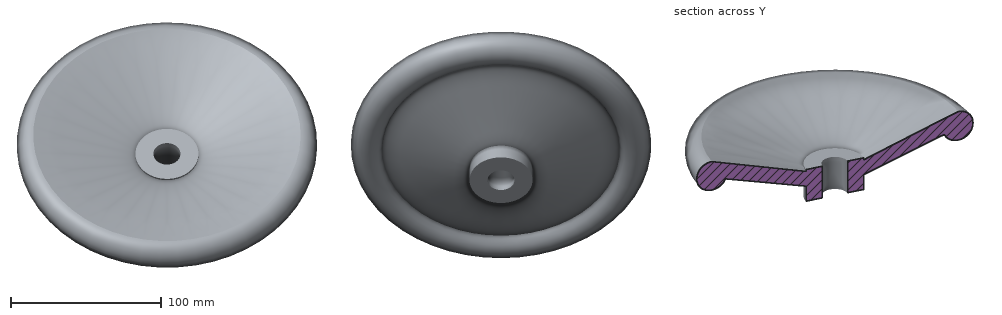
import cadquery as cq
import math

outer_radius = 100.0
total_height = 45.0

rim_section_radius = 11.0
rim_center_radius = outer_radius - rim_section_radius
rim_center_z = total_height - rim_section_radius

hub_radius = 21.0
hub_top_z = 24.5
bore_radius = 9.0

web_bottom_hub_z = 11.5
web_top_hub_z = 23.0

underside_angle = math.radians(205)
underside_rim_radius = rim_center_radius + rim_section_radius * math.cos(underside_angle)
underside_rim_z = rim_center_z + rim_section_radius * math.sin(underside_angle)


def make_body():
    """Hub, dished web and round rim as one solid of revolution about Z."""
    profile = (
        cq.Workplane("XZ")
        .moveTo(bore_radius, 0)
        .lineTo(hub_radius, 0)
        .lineTo(hub_radius, web_bottom_hub_z)
        .lineTo(underside_rim_radius, underside_rim_z)
        .threePointArc(
            (rim_center_radius, rim_center_z - rim_section_radius),
            (outer_radius, rim_center_z),
        )
        .radiusArc((rim_center_radius, total_height), -rim_section_radius)
        .lineTo(hub_radius, web_top_hub_z)
        .lineTo(hub_radius, hub_top_z)
        .lineTo(bore_radius, hub_top_z)
        .close()
    )
    return profile.revolve(360, (0, 0), (0, 1))


result = make_body()